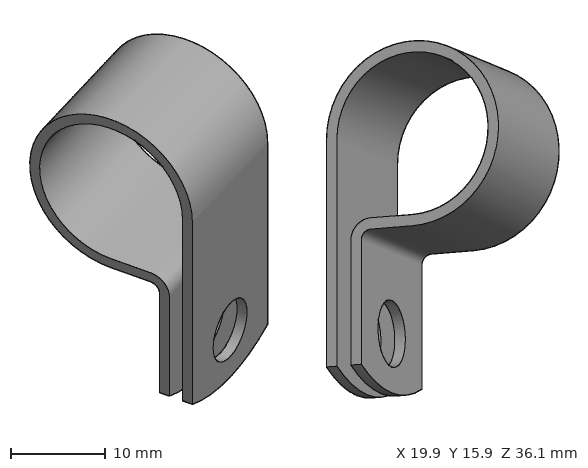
import cadquery as cq
import math

strip_width = 15.88
thickness = 1.22
outer_radius = 19.89 / 2
inner_radius = outer_radius - thickness

overall_height = 36.06
leg_gap = 1.6
bend_inner_radius = 1.1
bend_outer_radius = bend_inner_radius + thickness
leg_bottom = outer_radius - overall_height

tip_depth = 1.73
hole_diameter = 7.14
hole_height = 6.35

short_leg_right = inner_radius - leg_gap
short_leg_left = short_leg_right - thickness
bend_x = short_leg_left - bend_inner_radius
bend_z = -outer_radius - bend_inner_radius


def make_strip():
    """P-shaped strip profile, extruded symmetrically along Y."""
    diagonal = math.sqrt(0.5)
    bend_outer_mid = bend_outer_radius * diagonal
    bend_inner_mid = bend_inner_radius * diagonal
    loop_outer_mid = outer_radius * diagonal
    loop_inner_mid = inner_radius * diagonal
    return (
        cq.Workplane("XZ")
        .moveTo(outer_radius, leg_bottom)
        .lineTo(outer_radius, 0)
        .threePointArc((-loop_outer_mid, loop_outer_mid), (0, -outer_radius))
        .lineTo(bend_x, -outer_radius)
        .threePointArc((bend_x + bend_inner_mid, bend_z + bend_inner_mid), (short_leg_left, bend_z))
        .lineTo(short_leg_left, leg_bottom)
        .lineTo(short_leg_right, leg_bottom)
        .lineTo(short_leg_right, bend_z)
        .threePointArc((bend_x + bend_outer_mid, bend_z + bend_outer_mid), (bend_x, -inner_radius))
        .lineTo(0, -inner_radius)
        .threePointArc((-loop_inner_mid, loop_inner_mid), (inner_radius, 0))
        .lineTo(inner_radius, leg_bottom)
        .close()
        .extrude(strip_width / 2, both=True)
    )


def make_side_outline():
    """Rectangle with an arched lower edge that trims both leg ends."""
    half_width = strip_width / 2
    shoulder = leg_bottom + tip_depth
    return (
        cq.Workplane("YZ")
        .moveTo(-half_width, outer_radius)
        .lineTo(-half_width, shoulder)
        .threePointArc((0, leg_bottom), (half_width, shoulder))
        .lineTo(half_width, outer_radius)
        .close()
        .extrude(outer_radius, both=True)
    )


def make_bolt_hole():
    """Cylinder along X that passes through both legs."""
    return (
        cq.Workplane("YZ")
        .center(0, leg_bottom + hole_height)
        .circle(hole_diameter / 2)
        .extrude(outer_radius)
    )


result = make_strip().intersect(make_side_outline()).cut(make_bolt_hole())